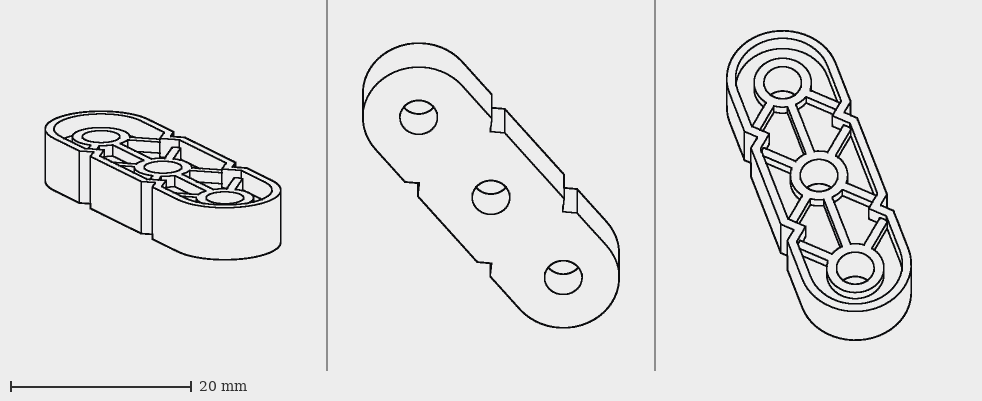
import cadquery as cq
import math

length = 37.8
width = 12.4
height = 6.1
end_radius = width / 2
pitch = (length - width) / 2

wall = 1.0
pocket_depth = 2.2
rib_drop = 0.9
rib_thickness = 1.0
boss_diameter = 6.35
hole_diameter = 4.15
notch_depth = 1.15

floor_z = height - pocket_depth
rib_height = pocket_depth - rib_drop
hole_centers = [(-pitch, 0), (0, 0), (pitch, 0)]
sides = (-1, 1)
notch_xs = [side * pitch / 2 for side in sides]


def notched_slot(slot_length, slot_width, notch, z, depth):
    """Round-ended bar with V notches of the given depth in both long sides."""
    bar = cq.Workplane("XY").workplane(offset=z).slot2D(slot_length, slot_width).extrude(depth)
    edge_y = slot_width / 2
    for x in notch_xs:
        for side in sides:
            vee = (
                cq.Workplane("XY")
                .workplane(offset=z)
                .moveTo(x - notch, side * edge_y)
                .lineTo(x, side * (edge_y - notch))
                .lineTo(x + notch, side * edge_y)
                .close()
                .extrude(depth)
            )
            bar = bar.cut(vee)
    return bar


def rib(start, end):
    """Straight rib standing on the pocket floor, centred on the line from start to end."""
    run_x = end[0] - start[0]
    run_y = end[1] - start[1]
    return (
        cq.Workplane("XY")
        .box(math.hypot(run_x, run_y), rib_thickness, rib_height, centered=(True, True, False))
        .rotate((0, 0, 0), (0, 0, 1), math.degrees(math.atan2(run_y, run_x)))
        .translate(((start[0] + end[0]) / 2, (start[1] + end[1]) / 2, floor_z))
    )


inner_notch_depth = notch_depth + wall * (math.sqrt(2) - 1)
body = notched_slot(length, width, notch_depth, 0, height)
pocket = notched_slot(length - 2 * wall, width - 2 * wall, inner_notch_depth, floor_z, pocket_depth)

inserts = (
    cq.Workplane("XY")
    .workplane(offset=floor_z)
    .pushPoints(hole_centers)
    .circle(boss_diameter / 2)
    .extrude(rib_height)
)
inserts = inserts.union(rib(hole_centers[0], hole_centers[-1]))
for x in notch_xs:
    for boss_side in sides:
        boss_x = x + boss_side * pitch / 2
        for side in sides:
            rib_end = (boss_x - boss_side * end_radius, side * end_radius)
            inserts = inserts.union(rib((boss_x, 0), rib_end))

holes = cq.Workplane("XY").pushPoints(hole_centers).circle(hole_diameter / 2).extrude(height)

result = body.cut(pocket.cut(inserts)).cut(holes)